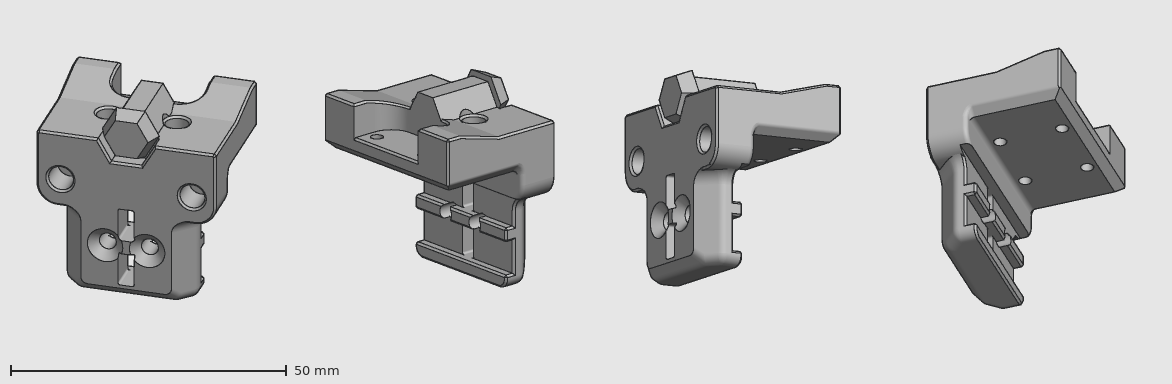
import cadquery as cq
import math

WIDTH = 34.0
DEPTH = 26.05
HEIGHT = 37.25
EDGE_CHAMFER = 0.4

TOLERANCE = 0.02

TOP_Z = 31.95
HORN_TOP_Z = 34.25
SLOPE_START_Y = 13.55
SLOPE_END_Y = 22.9
ARM_BOTTOM_Z = 23.85
ARM_BOTTOM_CHAMFER = 1.55
ARM_SIDE_BOTTOM_Z = ARM_BOTTOM_Z + ARM_BOTTOM_CHAMFER
ARM_FLOOR_THICKNESS = 4.0
ARM_FLOOR_Z = ARM_BOTTOM_Z + ARM_FLOOR_THICKNESS
BEND_RADIUS = 1.0

WALL_DEPTH = 8.05
SIDE_RADIUS = 0.9
LOBE_BOTTOM_Z = 17.18
LOBE_RADIUS = 4.0

LEG_WIDTH = 25.0
LEG_SIDE_CHAMFER = 3.9
LEG_BOTTOM_CHAMFER = 2.0
LEG_RADIUS = 1.97
LEG_TOP_Z = 22.35
FLARE_RADIUS = 2.98
FLARE_BOTTOM_Z = 17.65

RECESS_FLOOR_Y = 6.15
BAR_HEIGHT = 2.7
RECESS_HEIGHT = 6.4
RECESS_BOTTOMS = (BAR_HEIGHT, 2 * BAR_HEIGHT + RECESS_HEIGHT)
RECESS_TOP_Z = RECESS_BOTTOMS[1] + RECESS_HEIGHT
SLOT_WIDTH = 3.05
SLOT_CORNER_RADIUS = 0.4

LEG_HOLE_X = 4.0
LEG_HOLE_Z = 10.4
LEG_HOLE_DIAMETER = 3.2
COUNTERSINK_DIAMETER = 6.7

FRONT_HOLE_X = 12.45
FRONT_HOLE_Z = 22.65
FRONT_HOLE_DIAMETER = 4.7
FRONT_HOLE_DEPTH = 6.0
GROOVE_WIDTH = 1.25
GROOVE_DEPTH = 0.4

SCREW_X = 6.5
SCREW_DIAMETER = 2.4
REAR_SCREW_Y = 22.5
FRONT_SCREW_Y = 10.5
COUNTERBORE_DIAMETER = 4.4

POCKET_HALF_WIDTH = 8.75
POCKET_FRONT_Y = 16.5
POCKET_RADIUS = 4.4

RIB_TOP_Z = 36.2
RIB_TOP_WIDTH = 4.1
RIB_FLANK_ANGLE = 30.0

PLUG_RADIUS = 5.4
PLUG_LENGTH = 3.0
PLUG_TAPER = 20.0
PLUG_CLEARANCE = 0.3
PLUG_BACK_GAP = 0.15
HEX_APOTHEM_RATIO = math.cos(math.radians(30))
PLUG_Z = HEIGHT - PLUG_RADIUS * HEX_APOTHEM_RATIO
SEAT_RADIUS = PLUG_RADIUS + PLUG_CLEARANCE / HEX_APOTHEM_RATIO
SEAT_DEPTH = PLUG_LENGTH + PLUG_BACK_GAP


def box(x_min, x_max, y_min, y_max, z_min, z_max):
    size = (x_max - x_min, y_max - y_min, z_max - z_min)
    return cq.Workplane("XY").box(*size, centered=False).translate((x_min, y_min, z_min))


def pick_edges(part, is_wanted):
    return part.newObject([edge for edge in part.edges().vals() if is_wanted(edge)])


def bore_y(x, z, diameter, depth):
    """Cylinder that runs back from the front face."""
    return cq.Workplane(cq.Solid.makeCylinder(diameter / 2, depth, cq.Vector(x, 0, z), cq.Vector(0, 1, 0)))


def bore_z(x, y, diameter, z_min, z_max):
    return cq.Workplane(cq.Solid.makeCylinder(diameter / 2, z_max - z_min, cq.Vector(x, y, z_min)))


def flare_cone(origin, direction, wide_diameter, narrow_diameter):
    """45 degree cone that narrows from the origin along the direction."""
    height = (wide_diameter - narrow_diameter) / 2
    return cq.Workplane(cq.Solid.makeCone(wide_diameter / 2, narrow_diameter / 2, height, origin, direction))


def hexagon(radius, y):
    """Hexagon with left and right corners, drawn facing the front at depth y."""
    return cq.Workplane("XZ", origin=(0, y, PLUG_Z)).polygon(6, 2 * radius)


def is_arm_rim_edge(edge):
    """True for the top edges of the side faces and for the sides and top of the back face."""
    center = edge.Center()
    on_side_top = abs(center.x) > WIDTH / 2 - TOLERANCE and center.z > TOP_Z - TOLERANCE
    on_back = center.y > DEPTH - TOLERANCE and center.z > ARM_SIDE_BOTTOM_Z + TOLERANCE
    return on_side_top or on_back


def make_arm():
    profile = [
        (0, ARM_BOTTOM_Z),
        (0, TOP_Z),
        (SLOPE_START_Y, TOP_Z),
        (SLOPE_END_Y, HORN_TOP_Z),
        (DEPTH, HORN_TOP_Z),
        (DEPTH, ARM_BOTTOM_Z),
    ]
    arm = cq.Workplane("YZ").polyline(profile).close().extrude(WIDTH / 2, both=True)
    for side in ("<X", ">X"):
        arm = arm.faces(side).edges("<Z").chamfer(ARM_BOTTOM_CHAMFER)
    arm = arm.faces("<Z").edges(">Y").chamfer(ARM_BOTTOM_CHAMFER)
    return pick_edges(arm, is_arm_rim_edge).chamfer(EDGE_CHAMFER)


def make_wall():
    wall = box(-WIDTH / 2, WIDTH / 2, 0, WALL_DEPTH, LOBE_BOTTOM_Z, ARM_FLOOR_Z)
    return wall.edges("|Y and <Z").fillet(LOBE_RADIUS)


def is_bend_edge(edge):
    """True where the back of the wall meets the underside of the arm."""
    center = edge.Center()
    under_arm = ARM_BOTTOM_Z - TOLERANCE < center.z < ARM_SIDE_BOTTOM_Z
    return under_arm and abs(center.y - WALL_DEPTH) < TOLERANCE


def is_lower_side_edge(edge):
    """True for the edges of the side faces under the arm and down the back of the wall."""
    center = edge.Center()
    on_side = abs(center.x) > WIDTH / 2 - TOLERANCE
    below_arm_side = center.z < ARM_SIDE_BOTTOM_Z + TOLERANCE
    return on_side and below_arm_side and WALL_DEPTH - TOLERANCE < center.y < DEPTH - TOLERANCE


def make_block():
    """Arm and wall with their bend, rounded lower sides and chamfered outer edges."""
    block = make_arm().union(make_wall())
    block = pick_edges(block, is_bend_edge).fillet(BEND_RADIUS)
    block = pick_edges(block, is_lower_side_edge).fillet(SIDE_RADIUS)
    block = block.cut(hexagon(SEAT_RADIUS, 0).extrude(-SEAT_DEPTH))
    return block.faces("<Y").edges().chamfer(EDGE_CHAMFER)


def cut_pocket(block):
    half = POCKET_HALF_WIDTH
    pocket = box(-half, half, POCKET_FRONT_Y, DEPTH + POCKET_RADIUS, ARM_FLOOR_Z, HEIGHT)
    pocket = pocket.edges("|Z and <Y").fillet(POCKET_RADIUS)
    block = block.cut(pocket)
    rim_zone = cq.selectors.BoxSelector(
        (-half - TOLERANCE, POCKET_FRONT_Y - TOLERANCE, TOP_Z),
        (half + TOLERANCE, DEPTH - EDGE_CHAMFER, HORN_TOP_Z + TOLERANCE),
    )
    block = block.edges(rim_zone).chamfer(EDGE_CHAMFER)
    floor_back = cq.selectors.NearestToPointSelector((0, DEPTH, ARM_FLOOR_Z))
    return block.edges(floor_back).chamfer(EDGE_CHAMFER)


def make_rib():
    """Flat-topped rib whose flanks slope out to below the top of the arm."""
    half_top = RIB_TOP_WIDTH / 2
    half_base = half_top + (RIB_TOP_Z - ARM_FLOOR_Z) * math.tan(math.radians(RIB_FLANK_ANGLE))
    section = [
        (-half_base, ARM_FLOOR_Z),
        (-half_top, RIB_TOP_Z),
        (half_top, RIB_TOP_Z),
        (half_base, ARM_FLOOR_Z),
    ]
    rib = cq.Workplane("XZ", origin=(0, SEAT_DEPTH, 0)).polyline(section).close()
    return rib.extrude(SEAT_DEPTH - POCKET_FRONT_Y)


def make_leg_blank():
    """Leg with its wide front chamfers and every long edge between them rounded."""
    half = LEG_WIDTH / 2
    leg = box(-half, half, 0, WALL_DEPTH, 0, LEG_TOP_Z)
    leg = leg.faces("<Y").edges("|Z").chamfer(LEG_SIDE_CHAMFER)
    leg = leg.faces("<Y").edges("<Z").chamfer(LEG_BOTTOM_CHAMFER)
    between_end_faces = cq.selectors.BoxSelector(
        (-WIDTH, TOLERANCE, -TOLERANCE), (WIDTH, WALL_DEPTH - TOLERANCE, LEG_TOP_Z - TOLERANCE)
    )
    return leg.edges(between_end_faces).fillet(LEG_RADIUS)


def back_recesses():
    """Two cuts across the full width that leave two bars standing on the back of the leg."""
    lower, upper = [
        box(-WIDTH, WIDTH, RECESS_FLOOR_Y, WALL_DEPTH + BEND_RADIUS, z, z + RECESS_HEIGHT)
        for z in RECESS_BOTTOMS
    ]
    return lower.union(upper)


def is_leg_back_edge(edge):
    """True for the stepped back edges of the two sides and for the long back edges of the bars."""
    center = edge.Center()
    on_side = abs(center.x) > LEG_WIDTH / 2 - TOLERANCE
    below_wall = center.z < RECESS_TOP_Z - TOLERANCE
    above_rounding = center.z > LEG_RADIUS + TOLERANCE
    side_edge = on_side and above_rounding and below_wall and center.y > RECESS_FLOOR_Y - TOLERANCE
    bar_edge = abs(center.x) < TOLERANCE and center.y > WALL_DEPTH - TOLERANCE and below_wall
    return side_edge or bar_edge


def make_leg():
    leg = make_leg_blank().cut(back_recesses())
    return pick_edges(leg, is_leg_back_edge).chamfer(EDGE_CHAMFER)


def make_flare():
    """Concave transition from the leg up to the rounded lobes of the wall."""
    half = LEG_WIDTH / 2
    lobe_x = WIDTH / 2 - LOBE_RADIUS
    lobe_z = LOBE_BOTTOM_Z + LOBE_RADIUS
    arc_x = half + FLARE_RADIUS
    reach = LOBE_RADIUS + FLARE_RADIUS
    arc_z = lobe_z - math.sqrt(reach**2 - (arc_x - lobe_x) ** 2)
    touch_angle = math.atan2(lobe_z - arc_z, arc_x - lobe_x)
    touch = (arc_x - FLARE_RADIUS * math.cos(touch_angle), arc_z + FLARE_RADIUS * math.sin(touch_angle))
    middle = (
        arc_x - FLARE_RADIUS * math.cos(touch_angle / 2),
        arc_z + FLARE_RADIUS * math.sin(touch_angle / 2),
    )
    outline = (
        cq.Workplane("XZ")
        .moveTo(0, 0)
        .lineTo(half, 0)
        .lineTo(half, arc_z)
        .threePointArc(middle, touch)
        .lineTo(touch[0], LEG_TOP_Z)
        .lineTo(0, LEG_TOP_Z)
        .close()
        .extrude(-WALL_DEPTH)
    )
    outline = outline.union(outline.mirror("YZ"))

    ceiling = box(-WIDTH, WIDTH, 0, WALL_DEPTH, FLARE_BOTTOM_Z, LEG_TOP_Z)
    flare = make_leg_blank().union(ceiling)
    joint = cq.selectors.BoxSelector(
        (-half - TOLERANCE, TOLERANCE, FLARE_BOTTOM_Z - TOLERANCE),
        (half + TOLERANCE, WALL_DEPTH - TOLERANCE, FLARE_BOTTOM_Z + TOLERANCE),
    )
    flare = flare.edges(joint).fillet(FLARE_RADIUS)
    above_leg = box(-WIDTH, WIDTH, 0, RECESS_FLOOR_Y, arc_z - EDGE_CHAMFER, LEG_TOP_Z)
    flare = flare.intersect(outline).intersect(above_leg)
    back_arcs = [edge for edge in flare.faces(">Y").edges().vals() if edge.geomType() == "CIRCLE"]
    return flare.newObject(back_arcs).chamfer(EDGE_CHAMFER)


def slots():
    lower, upper = [
        box(-SLOT_WIDTH / 2, SLOT_WIDTH / 2, 0, WALL_DEPTH, z, z + RECESS_HEIGHT)
        .edges("|Y")
        .fillet(SLOT_CORNER_RADIUS)
        for z in RECESS_BOTTOMS
    ]
    return lower.union(upper)


def leg_hole(x):
    hole = bore_y(x, LEG_HOLE_Z, LEG_HOLE_DIAMETER, WALL_DEPTH)
    center = cq.Vector(x, 0, LEG_HOLE_Z)
    sink = flare_cone(center, cq.Vector(0, 1, 0), COUNTERSINK_DIAMETER, LEG_HOLE_DIAMETER)
    return hole.union(sink)


def front_hole(x):
    hole = bore_y(x, FRONT_HOLE_Z, FRONT_HOLE_DIAMETER, FRONT_HOLE_DEPTH)
    groove = bore_y(x, FRONT_HOLE_Z, FRONT_HOLE_DIAMETER, FRONT_HOLE_DEPTH + GROOVE_DEPTH).intersect(
        box(-WIDTH, WIDTH, 0, DEPTH, FRONT_HOLE_Z - GROOVE_WIDTH / 2, FRONT_HOLE_Z + GROOVE_WIDTH / 2)
    )
    mouth = flare_cone(
        cq.Vector(x, 0, FRONT_HOLE_Z),
        cq.Vector(0, 1, 0),
        FRONT_HOLE_DIAMETER + 2 * EDGE_CHAMFER,
        FRONT_HOLE_DIAMETER,
    )
    return hole.union(groove).union(mouth)


def rear_screw_hole(x):
    return bore_z(x, REAR_SCREW_Y, SCREW_DIAMETER, LOBE_BOTTOM_Z, ARM_FLOOR_Z)


def counterbored_hole(x):
    hole = bore_z(x, FRONT_SCREW_Y, SCREW_DIAMETER, LOBE_BOTTOM_Z, TOP_Z)
    counterbore = bore_z(x, FRONT_SCREW_Y, COUNTERBORE_DIAMETER, ARM_FLOOR_Z, RIB_TOP_Z)
    mouth_diameter = COUNTERBORE_DIAMETER + 2 * EDGE_CHAMFER
    mouth = flare_cone(
        cq.Vector(x, FRONT_SCREW_Y, TOP_Z), cq.Vector(0, 0, -1), mouth_diameter, COUNTERBORE_DIAMETER
    )
    rib_notch = bore_z(x, FRONT_SCREW_Y, mouth_diameter, TOP_Z, RIB_TOP_Z)
    return hole.union(counterbore).union(mouth).union(rib_notch)


def make_housing():
    housing = cut_pocket(make_block()).union(make_rib()).cut(back_recesses())
    housing = housing.union(make_flare()).union(make_leg()).cut(slots())
    for side in (-1, 1):
        housing = housing.cut(leg_hole(side * LEG_HOLE_X))
        housing = housing.cut(front_hole(side * FRONT_HOLE_X))
        housing = housing.cut(rear_screw_hole(side * SCREW_X))
        housing = housing.cut(counterbored_hole(side * SCREW_X))
    return housing


def make_plug():
    return hexagon(PLUG_RADIUS, PLUG_LENGTH).extrude(PLUG_LENGTH, taper=PLUG_TAPER)


housing = make_housing()
plug = make_plug()
result = cq.Compound.makeCompound([housing.val(), plug.val()])